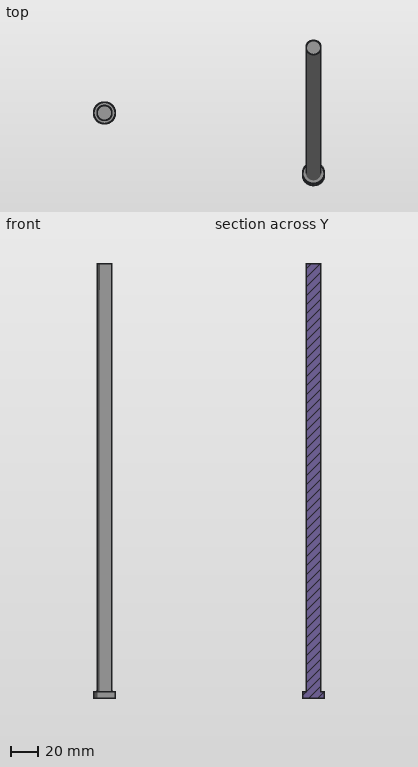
import cadquery as cq

total_length = 320.0
head_diameter = 16.0
head_thickness = 5.0
shank_diameter = 11.0
neck_fillet_radius = 0.2


def make_head():
    """Flat disc with its underside on Z = 0."""
    return cq.Workplane("XY").circle(head_diameter / 2).extrude(head_thickness)


def make_shank():
    """Straight cylinder running from the underside of the head to the tip."""
    return cq.Workplane("XY").circle(shank_diameter / 2).extrude(total_length)


def fillet_neck(pin):
    """Round the inside corner where the shank meets the top of the head."""
    neck_edge = cq.selectors.RadiusNthSelector(0)
    return pin.faces("%PLANE").faces(">Z[-2]").edges(neck_edge).fillet(neck_fillet_radius)


result = fillet_neck(make_head().union(make_shank()))